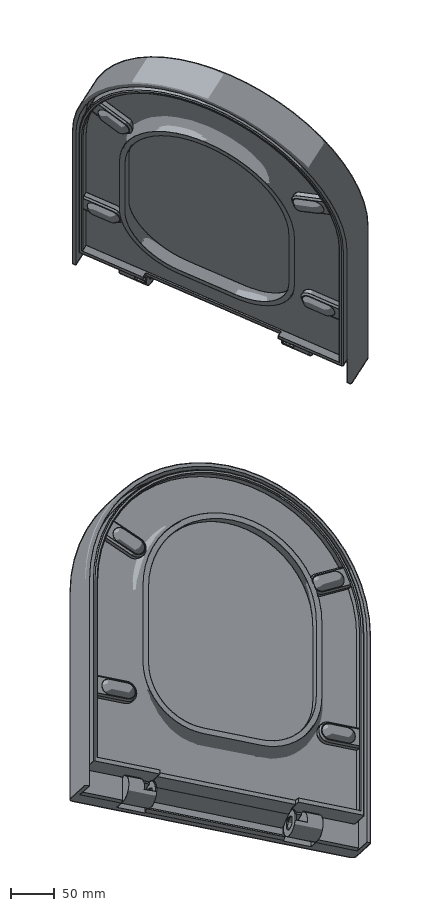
import cadquery as cq
import math


height = 440.0
half_width = 180.0
arch_z = height - half_width
shell_depth = 45.5
rim_wall = 5.5
floor_depth = 22.0
back_round = 5.5
rim_round = 2.0
bottom_round = 2.5

panel_gap = 4.5
panel_bottom = 31.5
panel_half_width = half_width - rim_wall - panel_gap
border_width = 5.5
border_depth = 47.5
border_chamfer = 1.5
field_depth = 38.5
sill_depth = field_depth + 2.0
sheet = 7.0

ring_half_width = 112.5
ring_bottom = 89.5
ring_corner = 76.0
ring_depth = 56.5
ring_root = 13.0

bumper_radius = 10.5
bumper_span = 22.5
bumper_depth = 52.5
bumper_flat = 0.15
bumper_center_depth = bumper_depth + bumper_flat - bumper_radius
bumper_reach = 138.5
bumper_tilt = 25.0
low_bumper_z = 129.5
base_half_width = 12.8
base_height = 8.0
base_bevel = base_half_width - bumper_radius

barrel_radius = panel_bottom / 2
barrel_depth = 23.5
neck_depth = barrel_depth + 5.5
barrel_inner_x = 87.0
barrel_step_x = 102.5
barrel_outer_x = 122.5
bore_radius = 13.0
end_hole_radius = 8.0
end_wall = 1.8
pocket_depth = 7.0
lip_z = 13.0

ceiling_depth = 22.0
ceiling_z = 27.5
crease_depth = 6.5
crease_z = 16.5
ramp_depth = 8.0
ramp_z = 10.0
sill_lip_depth = 11.5
sill_lip_top = 5.5
sill_lip_bottom = 3.5
trough_foot_depth = 9.0


def at_depth(depth):
    """Work plane parallel to the back, facing -Y."""
    return cq.Workplane("XZ", origin=(0, -depth, 0))


def arch(half, bottom, start, end):
    """D-shaped prism between two depths."""
    return (
        at_depth(start)
        .moveTo(-half, bottom)
        .lineTo(half, bottom)
        .lineTo(half, arch_z)
        .threePointArc((0, arch_z + half), (-half, arch_z))
        .close()
        .extrude(end - start)
    )


def slab(x_start, x_end, z_start, z_end, start, end):
    """Box between two X, two Z and two depth limits."""
    return cq.Workplane("XY").box(x_end - x_start, end - start, z_end - z_start, centered=False).translate(
        (x_start, -end, z_start)
    )


def ring_prism(inset, start, end):
    """Prism of the ring outline, with a round top and rounded bottom corners."""
    half = ring_half_width - inset
    corner = ring_corner - inset
    bottom = ring_bottom + inset
    flat = half - corner
    middle = corner * math.sqrt(0.5)
    return (
        at_depth(start)
        .moveTo(-flat, bottom)
        .lineTo(flat, bottom)
        .threePointArc((flat + middle, bottom + corner - middle), (half, bottom + corner))
        .lineTo(half, arch_z)
        .threePointArc((0, arch_z + half), (-half, arch_z))
        .lineTo(-half, bottom + corner)
        .threePointArc((-flat - middle, bottom + corner - middle), (-flat, bottom))
        .close()
        .extrude(end - start)
    )


def trough():
    """Cutter under the panel sill, between the barrels: a curved ceiling over a sloping lip."""
    return (
        cq.Workplane("YZ", origin=(-barrel_inner_x, 0, 0))
        .moveTo(-sill_depth, panel_bottom)
        .threePointArc((-ceiling_depth, ceiling_z), (-crease_depth, crease_z))
        .threePointArc((-ramp_depth, ramp_z), (-sill_lip_depth, sill_lip_top))
        .lineTo(-sill_lip_depth, sill_lip_bottom)
        .lineTo(-trough_foot_depth, 0)
        .lineTo(-sill_depth, 0)
        .close()
        .extrude(2 * barrel_inner_x)
    )


def make_shell():
    body = arch(half_width, 0, 0, shell_depth)
    body = body.faces(">Y").edges("not(<Z)").fillet(back_round)
    body = body.faces("<Y").edges("not(<Z)").fillet(rim_round)
    inner_half = half_width - rim_wall
    cavity = arch(inner_half, -height, floor_depth, shell_depth)
    body = body.cut(cavity)
    floor_edge = cq.selectors.BoxSelector((-4.5, -floor_depth - 0.5, -0.5), (4.5, -floor_depth + 0.5, 0.5))
    body = body.edges(floor_edge).chamfer(bottom_round)
    for x in (-barrel_outer_x, barrel_inner_x):
        pocket_end = x + barrel_outer_x - barrel_inner_x
        body = body.cut(slab(x, pocket_end, -4.5, panel_bottom, pocket_depth, floor_depth))
    return body.cut(trough())


def make_bumper(x, z, angle):
    """Capsule with a narrow flat on a beveled base that runs out to the panel border."""
    half = bumper_span / 2
    run_out = bumper_reach - half
    base = (
        at_depth(field_depth)
        .moveTo(half, base_half_width)
        .threePointArc((half + base_half_width, 0), (half, -base_half_width))
        .lineTo(-run_out, -base_half_width)
        .lineTo(-run_out, base_half_width)
        .close()
        .extrude(base_height)
        .faces("<Y")
        .chamfer(base_bevel)
    )
    capsule = (
        cq.Workplane("YZ", origin=(-half, -bumper_center_depth, 0)).circle(bumper_radius).extrude(bumper_span)
    )
    for end in (-half, half):
        capsule = capsule.union(cq.Workplane("XY").sphere(bumper_radius).translate((end, -bumper_center_depth, 0)))
    bumper = base.union(capsule)
    bumper = bumper.intersect(slab(-height, height, -height, height, floor_depth, bumper_depth))
    return bumper.rotate((0, 0, 0), (0, 1, 0), angle).translate((x, 0, z))


def make_barrel():
    """Left hinge barrel: closed at its outer end, with a window in front and a hole at its inner end."""

    def cylinder(radius, x_start, x_end):
        axis = cq.Workplane("YZ", origin=(x_start, -barrel_depth, barrel_radius))
        return axis.circle(radius).extrude(x_end - x_start)

    wall_x = -barrel_inner_x - end_wall
    barrel = cylinder(barrel_radius, -barrel_outer_x, -barrel_inner_x)
    neck = slab(-barrel_outer_x, -barrel_inner_x, barrel_radius, panel_bottom, floor_depth, neck_depth)
    bore = cylinder(bore_radius, -barrel_step_x, wall_x)
    end_hole = cylinder(end_hole_radius, wall_x, -barrel_inner_x)
    window = slab(-barrel_step_x, wall_x, lip_z, panel_bottom, barrel_depth, border_depth)
    return barrel.union(neck).cut(bore).cut(end_hole).cut(window)


def with_ring_root(body, depth, inset):
    """Round the corner where the ring outline rises from the flat at a depth."""
    reach = ring_half_width + 0.5
    corner = cq.selectors.BoxSelector(
        (-reach, -depth - 0.5, ring_bottom - 0.5), (reach, -depth + 0.5, arch_z + 0.75 * ring_half_width)
    )
    return body.edges(corner).fillet(ring_root + inset)


def make_panel():
    body = arch(panel_half_width, panel_bottom, floor_depth, border_depth)
    inner_half = panel_half_width - border_width
    field_bottom = panel_bottom + border_width
    body = body.cut(arch(inner_half, field_bottom, field_depth, border_depth))
    border_edges = cq.selectors.BoxSelector(
        (-half_width, -border_depth - 0.5, field_bottom + 0.5), (half_width, -border_depth + 0.5, height)
    )
    body = body.edges(border_edges).chamfer(border_chamfer)
    body = body.cut(
        slab(-barrel_inner_x, barrel_inner_x, panel_bottom, field_bottom, sill_depth, border_depth)
    )

    body = with_ring_root(body.union(ring_prism(0, floor_depth, ring_depth)), field_depth, 0)
    sheet_back = field_depth - sheet
    hollow = arch(inner_half, field_bottom, floor_depth, sheet_back)
    hollow = with_ring_root(hollow.union(ring_prism(sheet, floor_depth, ring_depth)), sheet_back, sheet)
    body = body.cut(hollow)

    tilt = math.radians(bumper_tilt)
    high_x = bumper_reach * math.cos(tilt)
    high_z = arch_z + bumper_reach * math.sin(tilt)
    envelope = arch(panel_half_width - border_width / 2, panel_bottom, floor_depth, ring_depth)
    bumpers = make_bumper(-bumper_reach, low_bumper_z, 0).union(make_bumper(-high_x, high_z, bumper_tilt))
    bumpers = bumpers.intersect(envelope)
    body = body.union(bumpers).union(bumpers.mirror("YZ"))

    web = slab(-barrel_inner_x, barrel_inner_x, 0, panel_bottom, floor_depth, sill_depth)
    body = body.union(web.cut(trough()))
    barrel = make_barrel()
    return body.union(barrel).union(barrel.mirror("YZ"))


shell = make_shell()
panel = make_panel()
result = cq.Compound.makeCompound([shell.val(), panel.val()])